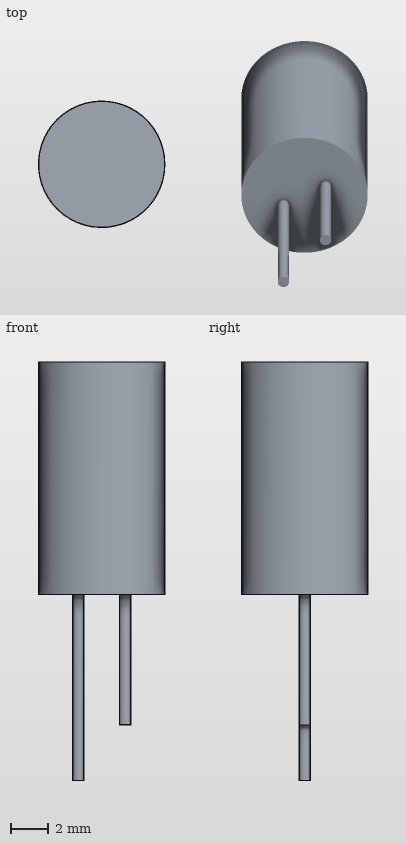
import cadquery as cq

total_height = 22.5
can_diameter = 6.8
can_height = 12.5

lead_diameter = 0.6
lead_spacing = 2.52
long_lead_length = total_height - can_height
short_lead_length = 7.0


def make_can():
    """Plain cylinder standing on the XY plane."""
    return cq.Workplane("XY").circle(can_diameter / 2).extrude(can_height)


def make_lead(x_position, length):
    """Straight round lead hanging from the flat underside of the can."""
    return cq.Workplane("XY").center(x_position, 0).circle(lead_diameter / 2).extrude(-length)


can = make_can()

lead_layout = [
    (-lead_spacing / 2, long_lead_length),
    (lead_spacing / 2, short_lead_length),
]
leads = [make_lead(x_position, length) for x_position, length in lead_layout]

result = cq.Compound.makeCompound([can.val(), *[lead.val() for lead in leads]])